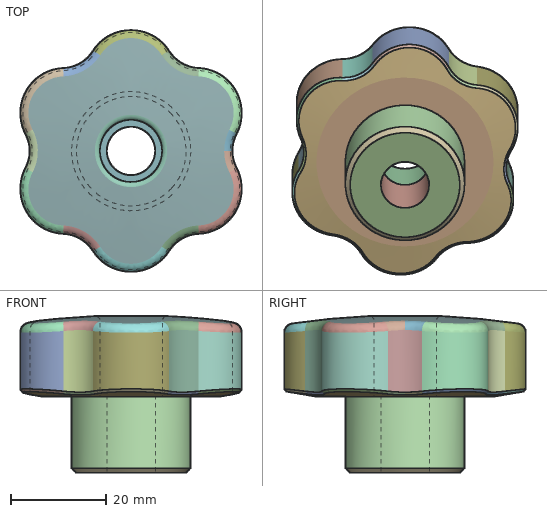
import cadquery as cq
import math

lobe_tip_radius = 25.35
total_height = 32.9

lobe_count = 6
first_lobe_axis = 90.0
lobe_radius = 9.5
valley_radius = 7.6
lobe_center_radius = lobe_tip_radius - lobe_radius

hub_diameter = 25.0
hub_length = 15.95
hub_chamfer = 1.0

dome_radius = 162.2
top_fillet = 2.0
underside_flat_radius = 18.55
underside_angle = 9.5
underside_chamfer = 0.5

bore_diameter = 10.1
counterbore_diameter = 13.0
counterbore_floor = hub_length
counterbore_radius = counterbore_diameter / 2
rim_fillet = 1.0

rim_radius = counterbore_radius + rim_fillet
dome_center_height = total_height - math.sqrt(dome_radius**2 - rim_radius**2)
apex_height = dome_center_height + dome_radius

blank_margin = 2.55
edge_tolerance = 0.005

lobe_pitch = 360.0 / lobe_count
half_pitch = math.radians(lobe_pitch / 2)
center_gap = lobe_radius + valley_radius
tangent_angle = math.asin(lobe_center_radius * math.sin(half_pitch) / center_gap)
valley_center_radius = (
    lobe_center_radius * math.cos(half_pitch) + center_gap * math.cos(tangent_angle)
)
valley_bottom_radius = valley_center_radius - valley_radius
tangent_along = valley_center_radius - valley_radius * math.cos(tangent_angle)
tangent_across = valley_radius * math.sin(tangent_angle)
tangent_radius = math.hypot(tangent_along, tangent_across)
tangent_offset = math.degrees(math.atan2(tangent_across, tangent_along))


def polar(radius, degrees):
    angle = math.radians(degrees)
    return (radius * math.cos(angle), radius * math.sin(angle))


def lobed_outline():
    """Closed outline with the first lobe pointing along +Y."""
    first_valley = first_lobe_axis - lobe_pitch / 2
    outline = cq.Workplane("XY").moveTo(*polar(tangent_radius, first_valley + tangent_offset))
    for i in range(lobe_count):
        lobe_axis = first_lobe_axis + i * lobe_pitch
        valley_axis = lobe_axis + lobe_pitch / 2
        outline = outline.threePointArc(
            polar(lobe_tip_radius, lobe_axis),
            polar(tangent_radius, valley_axis - tangent_offset),
        )
        outline = outline.threePointArc(
            polar(valley_bottom_radius, valley_axis),
            polar(tangent_radius, valley_axis + tangent_offset),
        )
    return outline.close()


def dome_height(radius):
    """Height of the domed top at a distance from the axis."""
    return dome_center_height + math.sqrt(dome_radius**2 - radius**2)


def turned_blank():
    """Hub, head and stepped bore turned about Z, before the lobes are cut."""
    hub_radius = hub_diameter / 2
    bore_radius = bore_diameter / 2
    blank_radius = lobe_tip_radius + blank_margin
    middle_radius = (counterbore_radius + blank_radius) / 2
    cone_rise = (blank_radius - underside_flat_radius) * math.tan(math.radians(underside_angle))

    blank = (
        cq.Workplane("XZ")
        .moveTo(bore_radius, 0)
        .lineTo(hub_radius - hub_chamfer, 0)
        .lineTo(hub_radius, hub_chamfer)
        .lineTo(hub_radius, hub_length)
        .lineTo(underside_flat_radius, hub_length)
        .lineTo(blank_radius, hub_length + cone_rise)
        .lineTo(blank_radius, dome_height(blank_radius))
        .threePointArc(
            (middle_radius, dome_height(middle_radius)),
            (counterbore_radius, dome_height(counterbore_radius)),
        )
        .lineTo(counterbore_radius, counterbore_floor)
        .lineTo(bore_radius, counterbore_floor)
        .close()
        .revolve(360, (0, 0, 0), (0, 1, 0))
    )
    return blank.edges("%CIRCLE").edges(">Z").fillet(rim_fillet)


def lobed_edges(body, face_type):
    """Outer edges where the lobed wall meets the dome or the cone face."""
    outer_edges = [
        edge
        for edge in body.faces(face_type).edges().vals()
        if math.hypot(*edge.positionAt(0.5).toTuple()[:2]) > valley_bottom_radius - edge_tolerance
    ]
    return body.newObject(outer_edges)


knob = turned_blank().intersect(lobed_outline().extrude(apex_height))
knob = lobed_edges(knob, "%SPHERE").fillet(top_fillet)
result = lobed_edges(knob, "%CONE").chamfer(underside_chamfer)